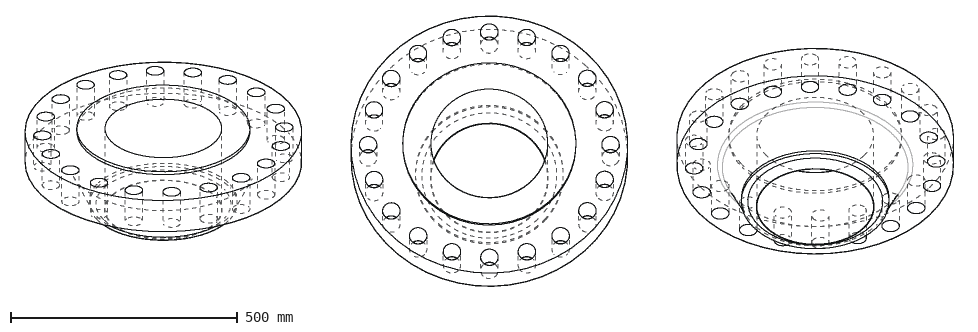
import cadquery as cq
import math

flange_radius = 305.0
total_height = 206.5
bore_radius = 128.5

face_radius = 191.0
face_height = 7.5

flange_thickness = 79.0
bolt_count = 20
bolt_circle_radius = 267.0
bolt_hole_diameter = 38.5

hub_top_radius = 205.0
root_height = 7.0
hub_end_radius = 163.0

cylinder_top = 24.0
cylinder_bottom = 16.0
bevel_top_radius = 149.0
bevel_top = 14.5
land_radius = 130.0

flange_top = total_height - face_height
flange_bottom = flange_top - flange_thickness
hub_top = flange_bottom - root_height

hub_slope = math.atan2(hub_top_radius - hub_end_radius, hub_top - cylinder_top)
fillet_radius = root_height / (1 - math.sin(hub_slope))
root_radius = hub_top_radius + fillet_radius * math.cos(hub_slope)
middle_angle = (math.pi - hub_slope + math.pi / 2) / 2
root_middle = (
    root_radius + fillet_radius * math.cos(middle_angle),
    flange_bottom - fillet_radius + fillet_radius * math.sin(middle_angle),
)


def make_body():
    """Revolve the half section about Z, bore included."""
    return (
        cq.Workplane("XZ")
        .moveTo(bore_radius, 0)
        .lineTo(land_radius, 0)
        .lineTo(bevel_top_radius, bevel_top)
        .lineTo(hub_end_radius, cylinder_bottom)
        .lineTo(hub_end_radius, cylinder_top)
        .lineTo(hub_top_radius, hub_top)
        .threePointArc(root_middle, (root_radius, flange_bottom))
        .lineTo(flange_radius, flange_bottom)
        .lineTo(flange_radius, flange_top)
        .lineTo(face_radius, flange_top)
        .lineTo(face_radius, total_height)
        .lineTo(bore_radius, total_height)
        .close()
        .revolve(360, (0, 0, 0), (0, 1, 0))
    )


def make_bolt_holes():
    """Cylinders through the flange, the first one on +X."""
    return (
        cq.Workplane("XY", origin=(0, 0, flange_bottom))
        .polarArray(bolt_circle_radius, 0, 360, bolt_count)
        .circle(bolt_hole_diameter / 2)
        .extrude(flange_thickness)
    )


result = make_body().cut(make_bolt_holes())